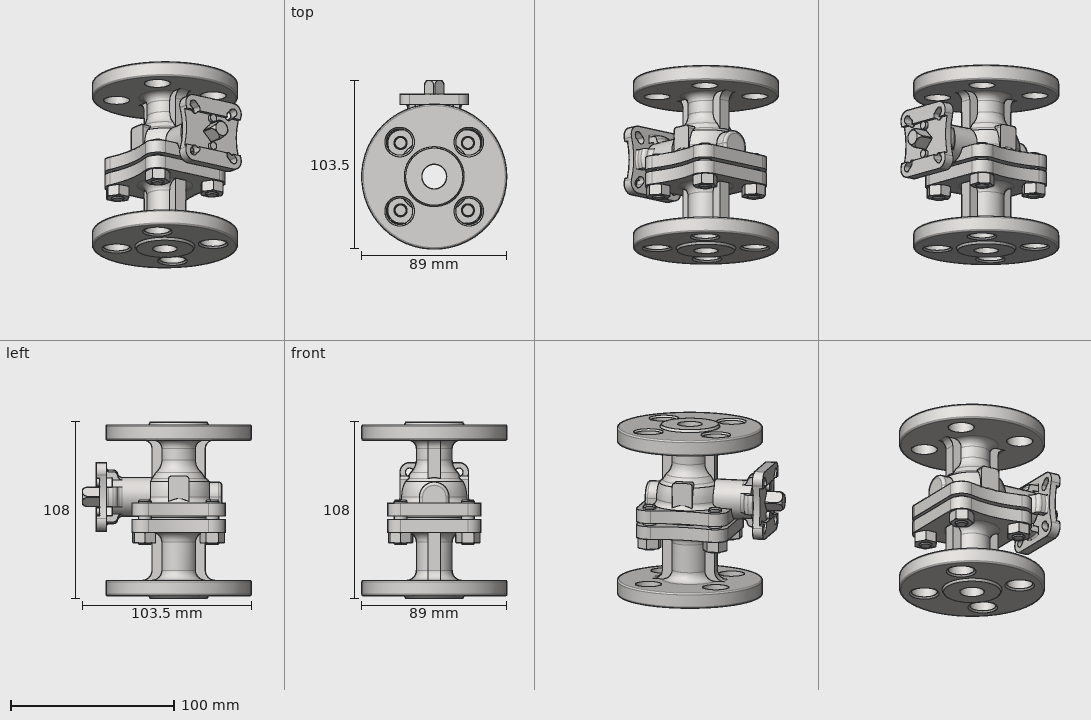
import cadquery as cq
import math

total_height = 108.0
bore_dia = 15.0

flange_dia = 89.0
flange_thickness = 9.5
flange_edge_fillet = 1.0
raised_face_height = 1.6
raised_face_dia = 36.7
raised_face_chamfer = 0.9
flange_hole_dia = 16.0
flange_hole_offset = 21.2
flange_hole_chamfer = 1.1

neck_radius = 11.0
lower_neck_fillet = 6.0
upper_neck_fillet = 5.0
rib_width = 7.8
rib_reach = 16.4

plate_half = 28.6
plate_corner_radius = 8.0
plate_thickness = 8.0
lower_plate_z = 40.5
plate_gap = 1.9
spigot_dia = 40.0
gasket_dia = 37.8
gasket_thickness = 1.2
waist_angle = 16.5

bolt_dia = 8.0
bolt_top_length = 1.8
bolt_bottom_length = 1.1
bolt_chamfer_height = 0.9
bolt_chamfer_width = 0.6
nut_corner_dia = 15.0
nut_height = 6.5
nut_chamfer = 0.4

stem_z = 62.2
dome_radius = 21.0
dome_foot_fillet = 4.2
dome_top_z = 71.7
shoulder_radius = 16.7
shoulder_z = 73.5
cone_top_radius = 14.5
cone_top_z = 77.1
dome_neck_z = 84.7

pad_face_x = 21.1
pad_half_width = 6.3
pad_top_z = 75.0
pad_fillet = 1.9

boss_radius = 9.1
boss_face_y = 26.5
boss_fillet = 1.9

tube_dia = 24.0
tube_start_y = 13.0
tube_end_y = 40.7
mount_back_y = 44.2
mount_thickness = 6.4
mount_half = 21.1
mount_corner_radius = 6.0
mount_slot_width = 5.0
mount_slot_inner = 12.7
mount_slot_outer = 15.1
channel_half_width = 11.6
channel_depth = 2.2
channel_post_radius = 2.4
channel_post_offset = 9.0

leg_width = 12.1
leg_root_radius = 10.8
leg_inner_radius = 26.0 / 2
leg_outer_radius = 16.5
leg_start_y = 34.6
leg_shoulder_y = 40.2
leg_fillet = 1.2

stem_corner_dia = 12.0
stem_square = 9.0
stem_root_y = 32.4
stem_tip_y = 59.0
stem_tip_dia = 9.0
stem_tip_length = 3.7

lower_flange_z = raised_face_height
lower_flange_top = lower_flange_z + flange_thickness
upper_flange_z = total_height - lower_flange_top
gasket_z = lower_plate_z + plate_thickness
upper_plate_z = gasket_z + plate_gap
upper_plate_top = upper_plate_z + plate_thickness
bolt_offset = plate_half - plate_corner_radius
mount_front_y = mount_back_y + mount_thickness
tube_radius = tube_dia / 2
QUARTER = math.sqrt(0.5)


def cylinder(radius, z_bottom, height, x=0, y=0):
    return cq.Workplane("XY", origin=(x, y, z_bottom)).circle(radius).extrude(height)


def stem_plane(y):
    """Sketch plane square to the stem at height y: local axes are X and Z about the stem."""
    return cq.Workplane(cq.Plane(origin=(0, y, stem_z), xDir=(1, 0, 0), normal=(0, -1, 0)))


def along_stem(sketch, length):
    return sketch.extrude(-length)


def waisted_square(plane, half, corner_radius):
    """Rounded square whose two X sides are hollowed by arcs tangent to the corners."""
    angle = math.radians(waist_angle)
    centre = half - corner_radius
    tangent_x = centre + corner_radius * math.cos(angle)
    tangent_y = centre - corner_radius * math.sin(angle)
    waist_radius = tangent_y / math.sin(angle)
    waist_x = tangent_x - waist_radius * (1 - math.cos(angle))
    bisector = (math.pi / 2 - angle) / 2
    mid_x = centre + corner_radius * math.cos(bisector)
    mid_y = centre + corner_radius * math.sin(bisector)
    return (
        plane.moveTo(-centre, half)
        .lineTo(centre, half)
        .threePointArc((mid_x, mid_y), (tangent_x, tangent_y))
        .threePointArc((waist_x, 0), (tangent_x, -tangent_y))
        .threePointArc((mid_x, -mid_y), (centre, -half))
        .lineTo(-centre, -half)
        .threePointArc((-mid_x, -mid_y), (-tangent_x, -tangent_y))
        .threePointArc((-waist_x, 0), (-tangent_x, tangent_y))
        .threePointArc((-mid_x, mid_y), (-centre, half))
        .close()
    )


def flange():
    """Lower end flange with its raised sealing face, resting on Z = 0."""
    disc = cylinder(flange_dia / 2, lower_flange_z, flange_thickness).edges().fillet(flange_edge_fillet)
    face = cylinder(raised_face_dia / 2, 0, lower_flange_top)
    return disc.union(face.faces("<Z").chamfer(raised_face_height, raised_face_chamfer))


def flange_hole_cutters():
    """Four bolt clearance holes, countersunk on the lower flange's sealing side."""
    hole_radius = flange_hole_dia / 2
    spots = cq.Workplane("XY", origin=(0, 0, lower_flange_z)).rect(
        2 * flange_hole_offset, 2 * flange_hole_offset, forConstruction=True).vertices()
    sink = cq.Solid.makeCone(hole_radius + flange_hole_chamfer, hole_radius, flange_hole_chamfer)
    drill = cq.Solid.makeCylinder(hole_radius, flange_thickness)
    cutter = sink.fuse(drill)
    return spots.eachpoint(lambda place: cutter.moved(place), combine="a")


def neck(z_bottom, z_top, foot_fillet, head_fillet):
    """Pipe neck with concave fillets at its two ends (a zero radius means no fillet)."""
    profile = cq.Workplane("XZ").moveTo(0, z_bottom).lineTo(neck_radius + foot_fillet, z_bottom)
    if foot_fillet:
        profile = profile.radiusArc((neck_radius, z_bottom + foot_fillet), foot_fillet)
    profile = profile.lineTo(neck_radius, z_top - head_fillet)
    if head_fillet:
        profile = profile.radiusArc((neck_radius + head_fillet, z_top), head_fillet)
    return profile.lineTo(0, z_top).close().revolve(360, (0, 0), (0, 1))


def rib(z_flange, z_far, foot_fillet):
    """Flat rib along both Y sides of a neck, flared where it meets the flange at z_flange."""
    side = math.copysign(1, z_far - z_flange)
    foot_y = rib_reach + foot_fillet
    foot_z = z_flange + side * foot_fillet
    bow = foot_fillet * (1 - QUARTER)
    arc_mid_z = z_flange + side * bow
    return (
        cq.Workplane("YZ").moveTo(-foot_y, z_flange)
        .lineTo(foot_y, z_flange)
        .threePointArc((rib_reach + bow, arc_mid_z), (rib_reach, foot_z))
        .lineTo(rib_reach, z_far)
        .lineTo(-rib_reach, z_far)
        .lineTo(-rib_reach, foot_z)
        .threePointArc((-rib_reach - bow, arc_mid_z), (-foot_y, z_flange))
        .close().extrude(rib_width / 2, both=True)
    )


def body_plate(z_bottom):
    plane = cq.Workplane("XY", origin=(0, 0, z_bottom))
    return waisted_square(plane, plate_half, plate_corner_radius).extrude(plate_thickness)


def dome():
    """Ball housing: a spherical dome blended into the upper neck and the upper plate."""
    dome_top_radius = math.sqrt(dome_radius ** 2 - (dome_top_z - stem_z) ** 2)
    foot_drop = stem_z - upper_plate_top
    foot_radius = dome_radius + dome_foot_fillet - math.sqrt(dome_foot_fillet ** 2 - foot_drop ** 2)
    rise = dome_neck_z - cone_top_z
    step = cone_top_radius - neck_radius
    neck_curve_radius = (rise ** 2 + step ** 2) / (2 * step)
    return (
        cq.Workplane("XZ").moveTo(0, upper_plate_z)
        .lineTo(foot_radius, upper_plate_z)
        .lineTo(foot_radius, upper_plate_top)
        .radiusArc((dome_radius, stem_z), dome_foot_fillet)
        .radiusArc((dome_top_radius, dome_top_z), -dome_radius)
        .lineTo(shoulder_radius, shoulder_z)
        .lineTo(cone_top_radius, cone_top_z)
        .radiusArc((neck_radius, dome_neck_z), neck_curve_radius)
        .lineTo(0, dome_neck_z)
        .close().revolve(360, (0, 0), (0, 1)).rotate((0, 0, 0), (0, 0, 1), 45)
    )


def side_pads():
    """Flat stop pads on the X sides of the dome, running down into its foot fillet."""
    height = pad_top_z - upper_plate_z
    block = cq.Workplane("XY", origin=(0, 0, upper_plate_z)).rect(2 * pad_face_x, 2 * pad_half_width)
    return block.extrude(height).edges("|X and >Z").fillet(pad_fillet)


def front_boss():
    """Arched boss on the -Y side of the dome, standing on the upper plate."""
    foot = upper_plate_top - stem_z
    boss = (
        stem_plane(-boss_face_y).moveTo(-boss_radius, foot)
        .lineTo(-boss_radius, 0)
        .threePointArc((0, boss_radius), (boss_radius, 0))
        .lineTo(boss_radius, foot)
        .close()
    )
    rim = cq.selectors.BoxSelector((-54, -boss_face_y - 1.1, upper_plate_top + 0.1),
                                   (54, -boss_face_y + 1.1, total_height))
    return along_stem(boss, boss_face_y).edges(rim).fillet(boss_fillet)


def bolt():
    z_bottom = lower_plate_z - nut_height - bolt_bottom_length
    length = upper_plate_top + bolt_top_length - z_bottom
    shank = cylinder(bolt_dia / 2, z_bottom, length, bolt_offset, bolt_offset)
    return shank.faces("<Z or >Z").chamfer(bolt_chamfer_height, bolt_chamfer_width)


def nut():
    """Hexagon nut with its corners on Y, under the lower plate."""
    place = cq.Workplane("XY", origin=(bolt_offset, bolt_offset, lower_plate_z - nut_height))
    hexagon = place.transformed(rotate=(0, 0, 90)).polygon(6, nut_corner_dia).extrude(nut_height)
    turned = place.circle(nut_corner_dia / 2).extrude(nut_height).edges().chamfer(nut_chamfer)
    return hexagon.intersect(turned)


def mount_legs():
    """Four legs joining the stem tube to the mounting plate, cut from one turned ring."""
    run = leg_shoulder_y - leg_start_y
    rise = leg_outer_radius - tube_radius
    bend_radius = (run ** 2 + rise ** 2) / (4 * rise)
    ring = (
        cq.Workplane("XY").moveTo(leg_root_radius, leg_start_y)
        .lineTo(tube_radius, leg_start_y)
        .radiusArc((tube_radius + rise / 2, leg_start_y + run / 2), bend_radius)
        .radiusArc((leg_outer_radius, leg_shoulder_y), -bend_radius)
        .lineTo(leg_outer_radius, mount_back_y - leg_fillet)
        .radiusArc((leg_outer_radius + leg_fillet, mount_back_y), leg_fillet)
        .lineTo(leg_inner_radius, mount_back_y)
        .lineTo(leg_inner_radius, tube_end_y)
        .lineTo(leg_root_radius, tube_end_y)
        .close().revolve(360, (0, 0), (0, 1)).translate((0, 0, stem_z))
    )
    span = 2 * plate_half
    cross = stem_plane(0).rect(span, leg_width).extrude(-stem_tip_y)
    cross = cross.union(stem_plane(0).rect(leg_width, span).extrude(-stem_tip_y))
    return ring.intersect(cross)


def mount_plate():
    """Actuator mounting plate with corner slots and a shallow channel across its face."""
    plate = along_stem(waisted_square(stem_plane(mount_back_y), mount_half, mount_corner_radius),
                       mount_thickness)
    channel = along_stem(stem_plane(mount_front_y - channel_depth)
                         .rect(2 * mount_half, 2 * channel_half_width), channel_depth)
    plate = plate.cut(channel)
    slot_centre = (mount_slot_inner + mount_slot_outer) / 2
    slot_length = (mount_slot_outer - mount_slot_inner) / QUARTER + mount_slot_width
    for x_side in (-1, 1):
        for z_side in (-1, 1):
            slot = (
                stem_plane(mount_back_y).center(x_side * slot_centre, z_side * slot_centre)
                .slot2D(slot_length, mount_slot_width, 45 * x_side * z_side)
            )
            plate = plate.cut(along_stem(slot, mount_thickness))
    posts = stem_plane(mount_back_y).pushPoints([(0, -channel_post_offset), (0, channel_post_offset)])
    return plate.union(along_stem(posts.circle(channel_post_radius), mount_thickness))


def stem():
    """Square drive on the stem: corners up and sideways, turned down to a rounded tip."""
    shaft_radius = stem_corner_dia / 2
    tip_radius = stem_tip_dia / 2
    turned = (
        cq.Workplane("XY").moveTo(0, stem_root_y)
        .lineTo(shaft_radius, stem_root_y)
        .lineTo(shaft_radius, stem_tip_y - stem_tip_length)
        .threePointArc((shaft_radius - 0.3 * (shaft_radius - tip_radius), stem_tip_y - 0.35 * stem_tip_length),
                       (tip_radius, stem_tip_y))
        .lineTo(0, stem_tip_y)
        .close().revolve(360, (0, 0), (0, 1)).translate((0, 0, stem_z))
    )
    shoulder_y = mount_back_y + mount_thickness / 2
    square = stem_plane(shoulder_y).transformed(rotate=(0, 0, 45)).rect(stem_square, stem_square)
    round_part = along_stem(stem_plane(stem_root_y).circle(shaft_radius), shoulder_y - stem_root_y)
    return turned.intersect(round_part.union(along_stem(square, stem_tip_y - shoulder_y)))


lower_end = flange().cut(flange_hole_cutters())
upper_end = lower_end.mirror("XY").translate((0, 0, total_height))
stem_assembly = (
    along_stem(stem_plane(tube_start_y).transformed(rotate=(0, 0, -45)).circle(tube_radius), tube_end_y - tube_start_y)
    .union(mount_legs())
    .union(mount_plate())
    .union(stem())
)

result = (
    lower_end
    .union(upper_end)
    .union(neck(lower_flange_top, lower_plate_z, lower_neck_fillet, lower_neck_fillet))
    .union(neck(upper_plate_top, upper_flange_z, 0, upper_neck_fillet))
    .union(rib(lower_flange_top, lower_plate_z, lower_neck_fillet))
    .union(body_plate(lower_plate_z))
    .union(cylinder(gasket_dia / 2, gasket_z, gasket_thickness))
    .union(cylinder(spigot_dia / 2, gasket_z + gasket_thickness, plate_gap - gasket_thickness))
    .union(body_plate(upper_plate_z))
    .union(dome())
    .union(rib(upper_flange_z, upper_plate_z, upper_neck_fillet))
    .union(side_pads())
    .union(front_boss())
    .cut(cylinder(bore_dia / 2, 0, total_height))
    .union(stem_assembly)
)
for turn in range(4):
    fastener = bolt().union(nut())
    result = result.union(fastener.rotate((0, 0, 0), (0, 0, 1), 90 * turn))